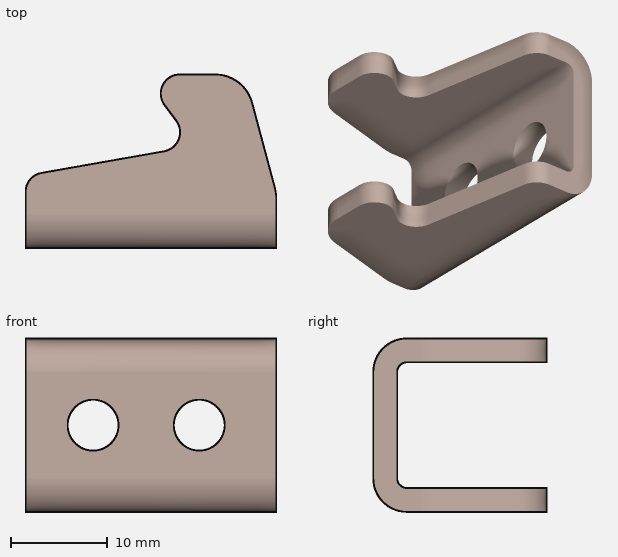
import cadquery as cq
import math

length = 26.0
depth = 18.0
height = 18.0
thickness = 2.5
inner_bend_radius = 1.0
outer_bend_radius = inner_bend_radius + thickness

hole_diameter = 5.25
hole_positions_x = (7.0, 18.0)

hook_radius = 2.0
hook_tip_x = 14.0
throat_radius = 2.0
throat_x = 14.0
throat_y = 12.0
toe_radius = 2.0
ramp_angle = 10.0
shoulder_radius = 4.0
back_angle = 15.0
back_blend_radius = 5.0
back_blend_y = 5.0


def on_circle(center, radius, angle):
    """Point on a circle at an angle in degrees, measured from +X."""
    turn = math.radians(angle)
    return (center[0] + radius * math.cos(turn), center[1] + radius * math.sin(turn))


def make_channel():
    """U-shaped channel with rounded bends, running along X."""
    outer = cq.Workplane("XY").box(length, depth, height, centered=False)
    outer = outer.edges("|X and <Y").fillet(outer_bend_radius)
    inner = (
        cq.Workplane("XY")
        .box(length, depth - thickness, height - 2 * thickness, centered=False)
        .edges("|X and <Y")
        .fillet(inner_bend_radius)
        .translate((0, thickness, thickness))
    )
    return outer.cut(inner)


def make_flange_outline():
    """Solid with the hook outline in XY, spanning the full height."""
    hook = (hook_tip_x + hook_radius, depth - hook_radius)
    throat = (throat_x, throat_y)

    center_dx = hook[0] - throat[0]
    center_dy = hook[1] - throat[1]
    center_distance = math.hypot(center_dx, center_dy)
    center_angle = math.degrees(math.atan2(center_dy, center_dx))
    tangent_angle = math.degrees(math.acos((hook_radius + throat_radius) / center_distance))
    neck_normal = center_angle - tangent_angle

    ramp_normal = 90 + ramp_angle
    ramp_top = on_circle(throat, throat_radius, ramp_normal - 180)
    toe_x = toe_radius
    ramp_foot_x = on_circle((toe_x, 0), toe_radius, ramp_normal)[0]
    ramp_foot_y = ramp_top[1] - (ramp_top[0] - ramp_foot_x) * math.tan(math.radians(ramp_angle))
    toe = (toe_x, ramp_foot_y - toe_radius * math.sin(math.radians(ramp_normal)))

    back_blend = (length - back_blend_radius, back_blend_y)
    back_foot = on_circle(back_blend, back_blend_radius, back_angle)
    shoulder_y = depth - shoulder_radius
    back_top_y = on_circle((0, shoulder_y), shoulder_radius, back_angle)[1]
    back_top_x = back_foot[0] - (back_top_y - back_foot[1]) * math.tan(math.radians(back_angle))
    shoulder = (back_top_x - shoulder_radius * math.cos(math.radians(back_angle)), shoulder_y)

    return (
        cq.Workplane("XY")
        .moveTo(0, 0)
        .lineTo(length, 0)
        .lineTo(length, back_blend_y)
        .threePointArc(on_circle(back_blend, back_blend_radius, back_angle / 2), back_foot)
        .lineTo(back_top_x, back_top_y)
        .threePointArc(
            on_circle(shoulder, shoulder_radius, (back_angle + 90) / 2),
            (shoulder[0], depth),
        )
        .lineTo(hook[0], depth)
        .threePointArc(
            (hook_tip_x, hook[1]),
            on_circle(hook, hook_radius, neck_normal + 180),
        )
        .lineTo(*on_circle(throat, throat_radius, neck_normal))
        .threePointArc(
            on_circle(throat, throat_radius, (neck_normal + ramp_normal - 180) / 2),
            ramp_top,
        )
        .lineTo(ramp_foot_x, ramp_foot_y)
        .threePointArc(
            on_circle(toe, toe_radius, (ramp_normal + 180) / 2),
            (0, toe[1]),
        )
        .close()
        .extrude(height)
    )


def make_web_holes():
    """Cylinders along Y that pass through the web at mid height."""
    return (
        cq.Workplane("XZ")
        .pushPoints([(x, height / 2) for x in hole_positions_x])
        .circle(hole_diameter / 2)
        .extrude(-thickness)
    )


result = make_channel().intersect(make_flange_outline()).cut(make_web_holes())